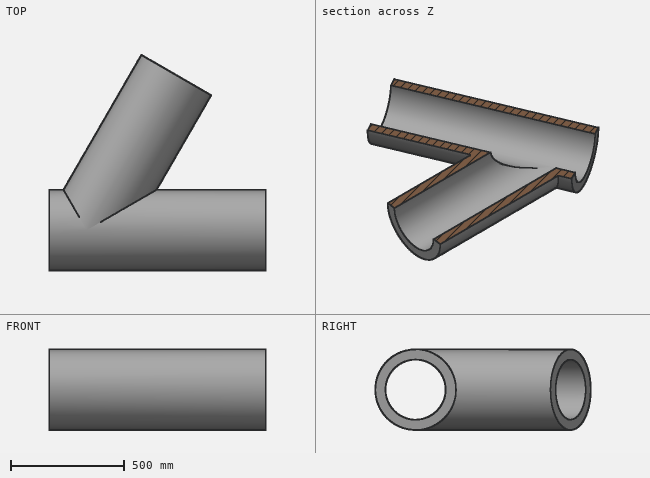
import cadquery as cq
import math

outer_diameter = 355.6
bore_diameter = 263.55
run_length = 952.5
inlet_length = 165.1
branch_length = 787.4
branch_angle = 60.0

run_start = cq.Vector(-inlet_length, 0, 0)
run_direction = cq.Vector(1, 0, 0)
axis_crossing = cq.Vector(0, 0, 0)
branch_direction = cq.Vector(
    math.cos(math.radians(branch_angle)),
    math.sin(math.radians(branch_angle)),
    0,
)


def wye_cylinders(diameter):
    """Union of a run cylinder and a branch cylinder of the same diameter."""
    radius = diameter / 2
    run = cq.Solid.makeCylinder(radius, run_length, run_start, run_direction)
    branch = cq.Solid.makeCylinder(radius, branch_length, axis_crossing, branch_direction)
    return cq.Workplane(obj=run).union(cq.Workplane(obj=branch))


body = wye_cylinders(outer_diameter)
bore = wye_cylinders(bore_diameter)
result = body.cut(bore)